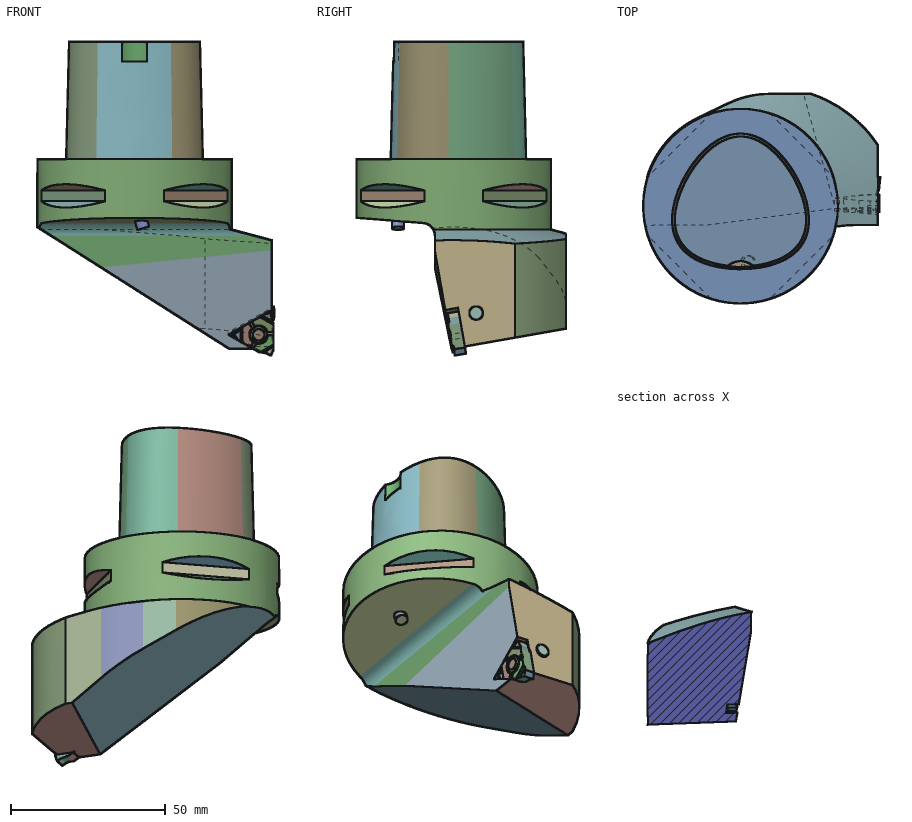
import cadquery as cq
import math


SHANK_LENGTH = 38.0
SHANK_RADIUS = 22.0
SHANK_LOBE = 1.5
SHANK_TAPER = 1 / 40
SHANK_PATCH = 60
NOTCH_RADIUS = 6.0
NOTCH_DEPTH = 6.5
NOTCH_CENTER_Y = -23.8

FLANGE_RADIUS = 31.5
FLANGE_HEIGHT = 22.8
SLOT_ANGLES = (45, 135, 225, 315)
SLOT_FLOOR_DISTANCE = 28.0
SLOT_FLOOR_WIDTH = 3.5
SLOT_CENTER_Z = -11.9
SLOT_WALL_ANGLE = 30

HEAD_RADIUS = 31.7
HEAD_ARC_CENTER = (9.7, 4.7)
HEAD_RIGHT_X = 44.4
HEAD_RIGHT_END_Y = 19.8
HEAD_CORNER_MIDDLE = (35.0, 29.9)
HEAD_BACK_END_X = 22.8
HEAD_FRONT_Y = -6.1
HEAD_FILLET = 4.1
HEAD_TOP_SLOPE = 15
HEAD_DEPTH = 71.2
RELIEF_EDGE_Z = -19.0
RELIEF_SLOPE = 4.5
DIAGONAL_TOP_Z = -22.0
DIAGONAL_SLOPE = 32.4
BOTTOM_Z = -61.3
TILT = 10
SEAT_EDGE_Z = -34.1
SEAT_EDGE_RISE = 0.1
SEAT_HEIGHT = 28.5

INSERT_X = 40.2
INSERT_Z = -56.8
INSERT_INRADIUS = 4.9
INSERT_THICKNESS = 4.2
CORNER_ANGLES = (60, 180, 300)
TOOTH_BASE_RADIUS = 5.1
TOOTH_SHOULDER_RADIUS = 6.7
TOOTH_SHOULDER_ACROSS = 0.9
TOOTH_TIP_RADIUS = 8.0
STEP_START_RADIUS = 5.3
STEP_END_RADIUS = 5.9
STEP_DEPTH = 0.6
STEP_OUTER_DEPTH = 0.2
GROOVE_WIDTH = 1
GROOVE_DEPTH = 0.3
GROOVE_OFFSET = 0.3
BUTTON_BASE_DIAMETER = 5.5
BUTTON_TOP_DIAMETER = 3.8
BUTTON_HEIGHT = 0.4
RECESS_DIAMETER = 6.0
RECESS_DEPTH = 0.2

FRONT_NOZZLE_DIAMETER = 4.0
FRONT_NOZZLE_TIP = (2.8, -18.0, -22.4)
FRONT_NOZZLE_DIRECTION = (0.3, 0, -1)
SIDE_NOZZLE_DIAMETER = 4.4
SIDE_NOZZLE_TIP = (45.0, 7.2, -49.8)
SIDE_NOZZLE_DIRECTION = (1, -0.1, 0)
NOZZLE_LENGTH = 3.6

CUT_SIZE = 203.4


def tan(degrees):
    return math.tan(math.radians(degrees))


def rotated(point, degrees):
    cosine = math.cos(math.radians(degrees))
    sine = math.sin(math.radians(degrees))
    return (point[0] * cosine - point[1] * sine, point[0] * sine + point[1] * cosine)


def shank_wire(height):
    """Hypotrochoid with one lobe toward +Y, split into six curves."""
    radius = SHANK_RADIUS - SHANK_TAPER * height

    def point(degrees):
        angle = math.radians(degrees)
        across = radius * math.sin(angle) - SHANK_LOBE * math.sin(2 * angle)
        along = radius * math.cos(angle) + SHANK_LOBE * math.cos(2 * angle)
        return cq.Vector(across, along, height)

    spans = 6
    edges = []
    for patch in range(360 // SHANK_PATCH):
        start = (patch + 0.5) * SHANK_PATCH
        points = [point(start + SHANK_PATCH * i / spans) for i in range(spans + 1)]
        edges.append(cq.Edge.makeSpline(points))
    return cq.Wire.assembleEdges(edges)


def make_shank():
    shank = cq.Workplane(cq.Solid.makeLoft([shank_wire(0), shank_wire(SHANK_LENGTH)], True))
    notch = (
        cq.Workplane("XY", origin=(0, NOTCH_CENTER_Y, SHANK_LENGTH - NOTCH_DEPTH))
        .circle(NOTCH_RADIUS)
        .extrude(NOTCH_DEPTH)
    )
    return shank.cut(notch)


def head_prism():
    """Outline of the head: two equal arcs joined by a tangent line, and a flat right side."""
    center_x, center_y = HEAD_ARC_CENTER
    center_distance = math.hypot(center_x, center_y)
    touch_x = -HEAD_RADIUS * center_y / center_distance
    touch_y = HEAD_RADIUS * center_x / center_distance
    half_turn = math.atan2(-touch_x, touch_y) / 2
    arc_middle = (
        center_x - HEAD_RADIUS * math.sin(half_turn),
        center_y + HEAD_RADIUS * math.cos(half_turn),
    )
    back_y = center_y + HEAD_RADIUS
    return (
        cq.Workplane("XY")
        .moveTo(HEAD_RIGHT_X, -HEAD_RADIUS)
        .lineTo(HEAD_RIGHT_X, HEAD_RIGHT_END_Y)
        .threePointArc(HEAD_CORNER_MIDDLE, (HEAD_BACK_END_X, back_y))
        .lineTo(center_x, back_y)
        .threePointArc(arc_middle, (center_x + touch_x, center_y + touch_y))
        .lineTo(touch_x, touch_y)
        .threePointArc((-HEAD_RADIUS, 0), (0, -HEAD_RADIUS))
        .close()
        .extrude(-HEAD_DEPTH)
    )


def flange_and_cone():
    """Body of revolution: the flange, and below it all that lies under the head's conical top."""
    reach = 2 * FLANGE_RADIUS
    cone_drop = (reach - FLANGE_RADIUS) * tan(HEAD_TOP_SLOPE)
    return (
        cq.Workplane("XZ")
        .polyline([
            (0, 0),
            (FLANGE_RADIUS, 0),
            (FLANGE_RADIUS, -FLANGE_HEIGHT),
            (reach, -FLANGE_HEIGHT - cone_drop),
            (reach, -HEAD_DEPTH),
            (0, -HEAD_DEPTH),
        ])
        .close()
        .revolve(360, (0, 0, 0), (0, 1, 0))
    )


def front_relief():
    """Space in front of the head and under the flange, with a rounded inner corner."""
    rim_y = -HEAD_RADIUS
    inner_z = RELIEF_EDGE_Z - (HEAD_FRONT_Y - rim_y) * tan(RELIEF_SLOPE)
    return (
        cq.Workplane("YZ", origin=(-CUT_SIZE / 2, 0, 0))
        .polyline([
            (rim_y, RELIEF_EDGE_Z),
            (HEAD_FRONT_Y, inner_z),
            (HEAD_FRONT_Y, -HEAD_DEPTH),
            (rim_y, -HEAD_DEPTH),
        ])
        .close()
        .extrude(CUT_SIZE)
        .edges(cq.selectors.NearestToPointSelector((0, HEAD_FRONT_Y, inner_z)))
        .fillet(HEAD_FILLET)
    )


def half_space(origin, x_direction, normal):
    plane = cq.Plane(origin, x_direction, normal)
    return cq.Workplane(plane).rect(CUT_SIZE, CUT_SIZE).extrude(CUT_SIZE)


def diagonal_cut():
    return half_space((-FLANGE_RADIUS, 0, DIAGONAL_TOP_Z), (0, 1, 0), (-tan(DIAGONAL_SLOPE), 0, -1))


def bottom_cut():
    return half_space((0, 0, BOTTOM_Z), (1, 0, 0), (0, tan(TILT), -1))


def seat_plane():
    """Leaning face of the head, centered on the insert; local x is level, local y points up."""
    lean = tan(TILT)
    edge_z = SEAT_EDGE_Z + SEAT_EDGE_RISE * INSERT_X
    center_y = HEAD_FRONT_Y + lean * (edge_z - INSERT_Z)
    skew = SEAT_EDGE_RISE * lean
    return cq.Plane((INSERT_X, center_y, INSERT_Z), (1, skew, 0), (skew, -1, -lean))


def seat_cut():
    return (
        cq.Workplane(seat_plane())
        .center(0, SEAT_HEIGHT - CUT_SIZE / 2)
        .rect(CUT_SIZE, CUT_SIZE)
        .extrude(FLANGE_RADIUS)
    )


def flange_slot(angle):
    """Straight slot across the flange rim, with flared walls."""
    half_floor = SLOT_FLOOR_WIDTH / 2
    depth = FLANGE_RADIUS - SLOT_FLOOR_DISTANCE
    half_mouth = half_floor + depth * tan(SLOT_WALL_ANGLE)
    return (
        cq.Workplane("XZ", origin=(0, FLANGE_RADIUS, SLOT_CENTER_Z))
        .polyline([
            (SLOT_FLOOR_DISTANCE, -half_floor),
            (FLANGE_RADIUS, -half_mouth),
            (FLANGE_RADIUS, half_mouth),
            (SLOT_FLOOR_DISTANCE, half_floor),
        ])
        .close()
        .extrude(2 * FLANGE_RADIUS)
        .rotate((0, 0, 0), (0, 0, 1), angle)
    )


def nozzle(tip, direction, diameter):
    backward = cq.Vector(*direction) * -1
    return cq.Workplane(cq.Solid.makeCylinder(diameter / 2, NOZZLE_LENGTH, cq.Vector(*tip), backward))


def insert_pocket():
    """Plain triangle, open where it passes the head's right and bottom faces."""
    corners = [rotated((2 * INSERT_INRADIUS, 0), angle) for angle in CORNER_ANGLES]
    return cq.Workplane(seat_plane()).polyline(corners).close().extrude(-INSERT_THICKNESS)


def make_holder():
    holder = head_prism().intersect(flange_and_cone())
    holder = holder.cut(front_relief()).cut(diagonal_cut()).cut(bottom_cut()).cut(seat_cut())
    for angle in SLOT_ANGLES:
        holder = holder.cut(flange_slot(angle))
    holder = holder.union(make_shank())
    holder = holder.union(nozzle(FRONT_NOZZLE_TIP, FRONT_NOZZLE_DIRECTION, FRONT_NOZZLE_DIAMETER))
    holder = holder.union(nozzle(SIDE_NOZZLE_TIP, SIDE_NOZZLE_DIRECTION, SIDE_NOZZLE_DIAMETER))
    return holder.cut(insert_pocket())


def insert_blank():
    """Triangle whose three corners are narrowed to pointed teeth."""
    sharp_radius = 2 * INSERT_INRADIUS
    tooth = [
        (TOOTH_BASE_RADIUS, -(sharp_radius - TOOTH_BASE_RADIUS) * tan(30)),
        (TOOTH_SHOULDER_RADIUS, -TOOTH_SHOULDER_ACROSS),
        (TOOTH_TIP_RADIUS, 0),
        (TOOTH_SHOULDER_RADIUS, (sharp_radius - TOOTH_SHOULDER_RADIUS) * tan(30)),
    ]
    outline = [rotated(point, angle) for angle in CORNER_ANGLES for point in tooth]
    return cq.Workplane(seat_plane()).polyline(outline).close().extrude(-INSERT_THICKNESS)


def tooth_step(plane):
    """Lowered face of one tooth, behind a sloping step."""
    side_plane = cq.Plane(plane.origin, plane.xDir, plane.yDir * -1)
    return (
        cq.Workplane(side_plane)
        .polyline([
            (STEP_START_RADIUS, 0),
            (STEP_END_RADIUS, -STEP_DEPTH),
            (2 * INSERT_INRADIUS, -STEP_OUTER_DEPTH),
            (2 * INSERT_INRADIUS, 0),
        ])
        .close()
        .extrude(INSERT_INRADIUS, both=True)
    )


def side_groove(plane):
    """Shallow groove from the recess to the middle of the side opposite one tooth."""
    return (
        cq.Workplane(plane)
        .center(-INSERT_INRADIUS, -GROOVE_OFFSET)
        .rect(2 * INSERT_INRADIUS - BUTTON_BASE_DIAMETER, GROOVE_WIDTH)
        .extrude(-GROOVE_DEPTH)
    )


def center_recess():
    return cq.Workplane(seat_plane()).circle(RECESS_DIAMETER / 2).extrude(-RECESS_DEPTH)


def center_button():
    return (
        cq.Workplane(seat_plane())
        .workplane(offset=-RECESS_DEPTH)
        .circle(BUTTON_BASE_DIAMETER / 2)
        .workplane(offset=BUTTON_HEIGHT)
        .circle(BUTTON_TOP_DIAMETER / 2)
        .loft()
    )


def make_insert():
    insert = insert_blank()
    for angle in CORNER_ANGLES:
        plane = seat_plane().rotated((0, 0, angle))
        insert = insert.cut(tooth_step(plane)).cut(side_groove(plane))
    return insert.cut(center_recess()).union(center_button())


holder = make_holder()
insert = make_insert()
result = cq.Compound.makeCompound([holder.solids().val(), insert.solids().val()])